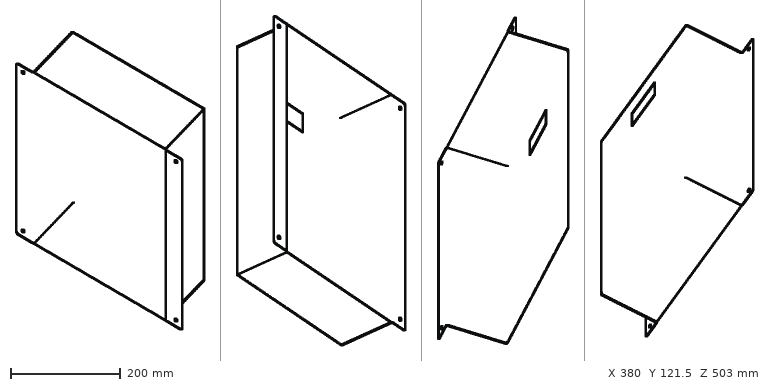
import cadquery as cq
import math

total_width = 380.0
total_depth = 121.5
total_height = 503.0
sheet = 1.5

tub_width = 303.0
back_bend_inner = 2.0
back_bend_outer = back_bend_inner + sheet
inner_width = tub_width - 2 * sheet
inner_height = total_height - 2 * sheet

flange_bend_inner = 2.0
flange_bend_outer = flange_bend_inner + sheet
flange_corner_radius = 5.0
hole_diameter = 6.0
hole_spacing_x = 350.0
hole_spacing_z = 465.0
hole_center_z = 1.0

window_width = 80.5
window_height = 40.0
window_center_z = 182.0


def block(width, height, front, back):
    """Box centred in X and Z, reaching from front to back along Y."""
    return cq.Workplane("XY").box(width, back - front, height).translate((0, (front + back) / 2, 0))


def make_tub():
    """Open-fronted sheet tub with rounded back edges; its rim lies behind the flanges."""
    outside = block(tub_width, total_height, sheet, total_depth)
    outside = outside.faces(">Y").edges().fillet(back_bend_outer)
    inside = block(inner_width, inner_height, 0, total_depth - sheet)
    inside = inside.faces(">Y").edges().fillet(back_bend_inner)
    bend_space = block(total_width, inner_height, 0, flange_bend_outer)
    return outside.cut(inside).cut(bend_space)


def make_right_flange():
    """Flange and bend continuing the right side wall outward."""
    wall_inner = inner_width / 2
    wall_outer = tub_width / 2
    bend_x = wall_inner + flange_bend_outer
    diagonal = math.sqrt(0.5)

    def arc_middle(radius):
        return (bend_x - radius * diagonal, flange_bend_outer - radius * diagonal)

    flange = (
        cq.Workplane("XY", origin=(0, 0, -inner_height / 2))
        .moveTo(wall_inner, flange_bend_outer)
        .threePointArc(arc_middle(flange_bend_outer), (bend_x, 0))
        .lineTo(total_width / 2, 0)
        .lineTo(total_width / 2, sheet)
        .lineTo(bend_x, sheet)
        .threePointArc(arc_middle(flange_bend_inner), (wall_outer, flange_bend_outer))
        .close()
        .extrude(inner_height)
    )
    return flange.faces(">X").edges("|Y").fillet(flange_corner_radius)


def make_holes():
    """Mounting holes near the four flange corners."""
    return (
        cq.Workplane("XZ", origin=(0, 0, hole_center_z))
        .rarray(hole_spacing_x, hole_spacing_z, 2, 2)
        .circle(hole_diameter / 2)
        .extrude(-2 * sheet)
    )


def make_window():
    """Cutter for the rectangular opening through the back panel."""
    window = block(window_width, window_height, total_depth - 2 * sheet, total_depth + sheet)
    return window.translate((0, 0, window_center_z))


right_flange = make_right_flange()
left_flange = right_flange.mirror("YZ")
result = make_tub().union(right_flange).union(left_flange)
result = result.cut(make_holes()).cut(make_window())